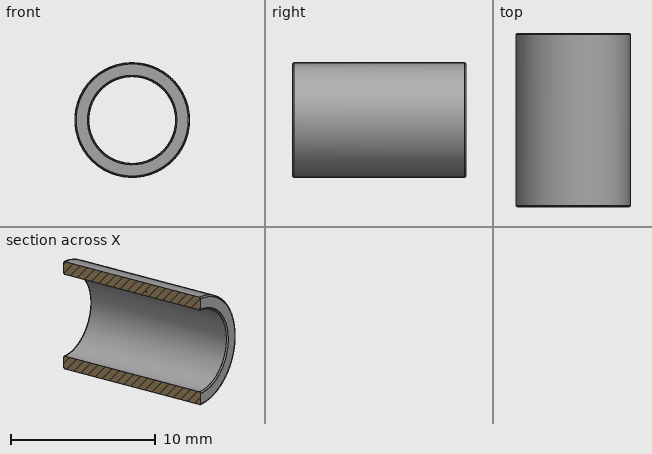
import cadquery as cq

length = 12.0
outer_diameter = 7.95
bore_diameter = 6.0
edge_chamfer = 0.1

sleeve = (
    cq.Workplane("XZ", origin=(0, length / 2, 0))
    .circle(outer_diameter / 2)
    .circle(bore_diameter / 2)
    .extrude(length)
)

result = sleeve.faces("<Y or >Y").edges().chamfer(edge_chamfer)